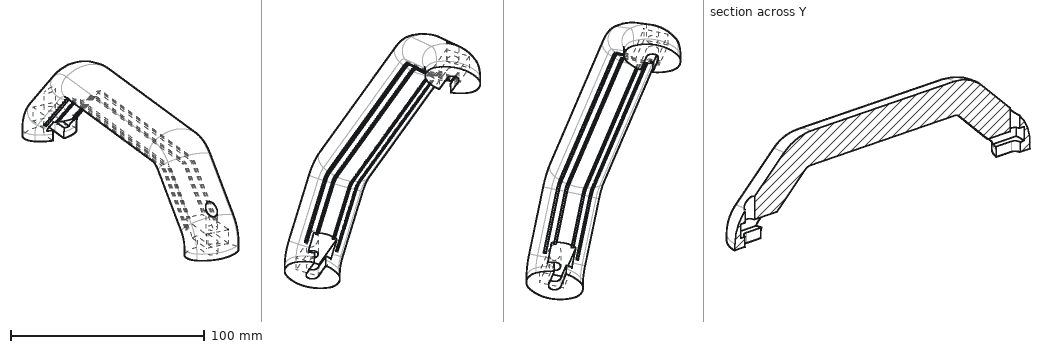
import cadquery as cq
import math

overall_length = 195.0
overall_height = 54.0
oval_width = 30.0
oval_depth = 20.0
end_radius = oval_width / 4

bend_radius = 15.0
bend_angle = 45.0
foot_height = 3.9

hole_diameter = 6.0
slot_width = 6.5
slot_height = 6.0
pocket_width = 13.0
pocket_end = 6.0
pocket_top = 13.8

groove_width = 1.2
groove_depth = 1.0
groove_offsets = (4.7, 8.8)
groove_end_gap = 2.0

half_width = oval_width / 2
half_depth = oval_depth / 2
foot_x = overall_length / 2 - half_depth
grip_z = overall_height - half_depth
angle = math.radians(bend_angle)
bend_run = bend_radius * math.sin(angle)
bend_shift = bend_radius * (1 - math.cos(angle))
leg_rise = grip_z - foot_height - bend_run - bend_shift
leg_run = leg_rise / math.tan(angle)
leg_bottom = (-foot_x + bend_shift, foot_height + bend_run)
leg_top = (leg_bottom[0] + leg_run, leg_bottom[1] + leg_rise)
grip_end_x = leg_top[0] + bend_run

end_center = half_width - end_radius
flat_radius = (end_center**2 + half_depth**2 - end_radius**2) / (2 * (half_depth - end_radius))
join_angle = math.asin(end_center / (flat_radius - end_radius))


def flat_arc_drop(offset):
    """Distance the flat arc falls below its crown at a sideways offset."""
    return flat_radius - math.sqrt(flat_radius**2 - offset**2)


def oval_tube():
    """Half of the handle: the oval swept from the foot to the middle of the grip."""
    join_y = flat_radius * math.sin(join_angle)
    join_x = half_depth - flat_arc_drop(join_y)
    section = (
        cq.Workplane("XY", origin=(-foot_x, 0, 0))
        .moveTo(-join_x, join_y)
        .threePointArc((0, half_width), (join_x, join_y))
        .threePointArc((half_depth, 0), (join_x, -join_y))
        .threePointArc((0, -half_width), (-join_x, -join_y))
        .threePointArc((-half_depth, 0), (-join_x, join_y))
        .close()
    )
    centreline = (
        cq.Workplane("XZ")
        .moveTo(-foot_x, 0)
        .lineTo(-foot_x, foot_height)
        .tangentArcPoint(leg_bottom, relative=False)
        .lineTo(*leg_top)
        .tangentArcPoint((grip_end_x, grip_z), relative=False)
        .lineTo(0, grip_z)
    )
    return section.sweep(centreline)


def groove(offset):
    """Cutter for one groove at a sideways offset, from low on the leg to mid grip."""
    direction = (math.cos(angle), 0, math.sin(angle))
    inward = (math.sin(angle), 0, -math.cos(angle))
    start = (
        leg_bottom[0] + groove_end_gap * math.cos(angle),
        leg_bottom[1] + groove_end_gap * math.sin(angle),
    )
    floor = half_depth - flat_arc_drop(abs(offset)) - groove_depth
    cutter_height = half_depth - floor
    section_plane = cq.Plane(origin=(start[0], 0, start[1]), xDir=inward, normal=direction)
    section = (
        cq.Workplane(section_plane)
        .center(floor + cutter_height / 2, offset)
        .rect(cutter_height, groove_width)
    )
    centreline = (
        cq.Workplane("XZ")
        .moveTo(*start)
        .lineTo(*leg_top)
        .tangentArcPoint((grip_end_x, grip_z), relative=False)
        .lineTo(0, grip_z)
    )
    return section.sweep(centreline)


def foot_cutter():
    """Bolt hole, narrow slot open to the base and wide pocket above it."""
    reach = oval_depth
    hole = cq.Workplane("XY").circle(hole_diameter / 2).extrude(overall_height)
    slot_end = cq.Workplane("XY").circle(slot_width / 2).extrude(slot_height)
    slot = cq.Workplane("XY").rect(reach, slot_width).extrude(slot_height).translate((reach / 2, 0, 0))
    pocket_length = reach + pocket_end
    pocket = (
        cq.Workplane("XY", origin=(reach - pocket_length / 2, 0, slot_height))
        .rect(pocket_length, pocket_width)
        .extrude(pocket_top - slot_height)
    )
    return hole.union(slot_end).union(slot).union(pocket).translate((-foot_x, 0, 0))


half_handle = oval_tube().cut(foot_cutter())
for groove_offset in groove_offsets:
    for side in (-1, 1):
        half_handle = half_handle.cut(groove(side * groove_offset))

result = half_handle.union(half_handle.mirror("YZ"))